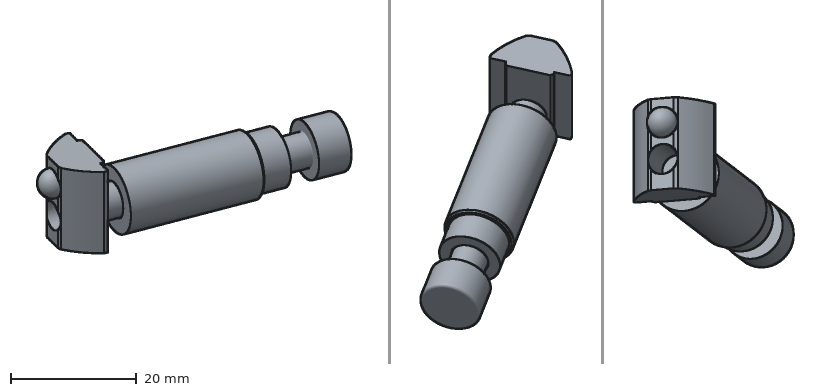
import cadquery as cq
import math


NUT_WIDTH = 13.5
NUT_DEPTH = 7.3
NUT_TOP = 10.0
NUT_BOTTOM = -5.0
LAND_WIDTH = 8.0
LAND_HEIGHT = 0.8
LAND_CHAMFER = 0.4
WING_EDGE_BACK = NUT_DEPTH - LAND_HEIGHT
WING_EDGE_FRONT = 5.7
WING_ROUND = 0.2
FRONT_FLAT_WIDTH = 3.75
FLANK_END_WIDTH = 5.05
FRONT_BEVEL = 0.2
FLANK_BULGE = 0.4
NUT_HOLE_DIAMETER = 4.9

BALL_DIAMETER = 5.0
BALL_HEIGHT = 6.0

SHANK_DIAMETER = 6.0
HEAD_DIAMETER = 10.0
HEAD_LENGTH = 6.0
HEAD_ROUND = 0.5
UNDERHEAD_ROUND = 0.1
BORE_DIAMETER = 6.2
SLEEVE_DIAMETER = 11.5
SLEEVE_LENGTH = 24.0
SLEEVE_CHAMFER = 0.3
COLLAR_DIAMETER = 10.1
COLLAR_LENGTH = 5.0

NUT_TO_SLEEVE = 3.75
OVERALL_LENGTH = 53.5
SLEEVE_START = NUT_DEPTH + NUT_TO_SLEEVE
COLLAR_START = SLEEVE_START + SLEEVE_LENGTH
HEAD_END = OVERALL_LENGTH - BALL_DIAMETER / 2
HEAD_START = HEAD_END - HEAD_LENGTH


def rod(diameter, start, length):
    """Cylinder on the screw axis, from Y = start toward +Y."""
    plane = cq.Plane(origin=(0, start, 0), xDir=(1, 0, 0), normal=(0, 1, 0))
    return cq.Workplane(plane).circle(diameter / 2).extrude(length)


def ball_shape():
    """Sphere at the ball's seat."""
    return cq.Workplane("XY").sphere(BALL_DIAMETER / 2).translate((0, 0, BALL_HEIGHT))


def make_nut():
    """Tapered slot nut with a stepped back, a screw hole and a ball seat."""
    wing_x = NUT_WIDTH / 2
    land_x = LAND_WIDTH / 2
    flank_x = FLANK_END_WIDTH / 2
    flat_x = FRONT_FLAT_WIDTH / 2

    run_x = wing_x - flank_x
    run_y = WING_EDGE_FRONT - FRONT_BEVEL
    chord = math.hypot(run_x, run_y)
    middle_x = (wing_x + flank_x) / 2 + FLANK_BULGE * run_y / chord
    middle_y = (WING_EDGE_FRONT + FRONT_BEVEL) / 2 - FLANK_BULGE * run_x / chord

    body = (
        cq.Workplane("XY", origin=(0, 0, NUT_BOTTOM))
        .moveTo(-flat_x, 0)
        .lineTo(flat_x, 0)
        .lineTo(flank_x, FRONT_BEVEL)
        .threePointArc((middle_x, middle_y), (wing_x, WING_EDGE_FRONT))
        .lineTo(wing_x, WING_EDGE_BACK)
        .lineTo(land_x, WING_EDGE_BACK)
        .lineTo(land_x, NUT_DEPTH)
        .lineTo(-land_x, NUT_DEPTH)
        .lineTo(-land_x, WING_EDGE_BACK)
        .lineTo(-wing_x, WING_EDGE_BACK)
        .lineTo(-wing_x, WING_EDGE_FRONT)
        .threePointArc((-middle_x, middle_y), (-flank_x, FRONT_BEVEL))
        .close()
        .extrude(NUT_TOP - NUT_BOTTOM)
    )
    body = body.faces(">Y").edges("|Z").chamfer(LAND_CHAMFER)
    for side in (">X", "<X"):
        body = body.faces(side).edges(">Y").fillet(WING_ROUND)
    return body.cut(rod(NUT_HOLE_DIAMETER, 0, NUT_DEPTH)).cut(ball_shape())


def make_screw():
    """Cap screw whose shank ends against the back of the nut."""
    shank = rod(SHANK_DIAMETER, NUT_DEPTH, HEAD_START - NUT_DEPTH)
    head = rod(HEAD_DIAMETER, HEAD_START, HEAD_LENGTH)
    head = head.faces(">Y").edges().fillet(HEAD_ROUND)
    screw = shank.union(head)
    neck_edge = cq.selectors.NearestToPointSelector((0, HEAD_START, 0))
    return screw.edges(neck_edge).fillet(UNDERHEAD_ROUND)


def make_sleeve():
    """Long clamping sleeve, chamfered where it meets the collar."""
    sleeve = rod(SLEEVE_DIAMETER, SLEEVE_START, SLEEVE_LENGTH)
    sleeve = sleeve.faces(">Y").edges().chamfer(SLEEVE_CHAMFER)
    return sleeve.cut(rod(BORE_DIAMETER, SLEEVE_START, SLEEVE_LENGTH))


def make_collar():
    """Short ring resting on the end of the sleeve."""
    collar = rod(COLLAR_DIAMETER, COLLAR_START, COLLAR_LENGTH)
    return collar.cut(rod(BORE_DIAMETER, COLLAR_START, COLLAR_LENGTH))


nut = make_nut()
ball = ball_shape()
screw = make_screw()
sleeve = make_sleeve()
collar = make_collar()

result = cq.Compound.makeCompound(
    [nut.val(), ball.val(), screw.val(), sleeve.val(), collar.val()]
)